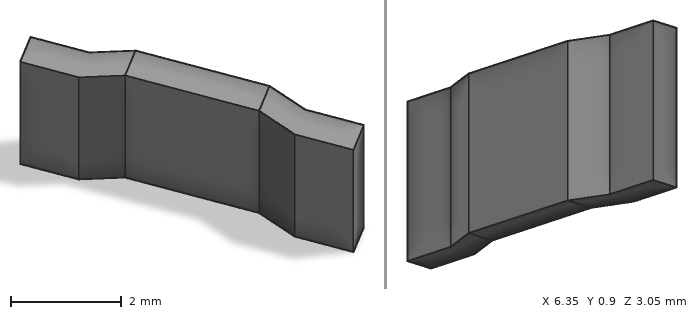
import cadquery as cq

length = 6.35
height = 3.05
depth = 0.9

thickness = 0.6
middle_length = 2.55
tab_length = 1.12

offset = depth - thickness
half_length = length / 2
half_middle = middle_length / 2
bend_x = half_length - tab_length


def extrude_to_height(outline):
    """Extrude a closed plan outline, centred on Z = 0."""
    return cq.Workplane("XY").polyline(outline).close().extrude(height / 2, both=True)


def make_middle_plate():
    """Flat plate, set back toward +Y from the end tabs."""
    front_y = offset
    back_y = depth
    return extrude_to_height([
        (-half_middle, front_y),
        (half_middle, front_y),
        (half_middle, back_y),
        (-half_middle, back_y),
    ])


def make_end_terminal(side):
    """Flat tab with a sloped part that meets the middle plate; side is -1 or +1 along X."""
    return extrude_to_height([
        (side * half_length, 0),
        (side * bend_x, 0),
        (side * half_middle, offset),
        (side * half_middle, depth),
        (side * bend_x, thickness),
        (side * half_length, thickness),
    ])


middle_plate = make_middle_plate()
end_terminals = [make_end_terminal(side) for side in (-1, 1)]

result = cq.Compound.makeCompound([
    middle_plate.val(),
    *[terminal.val() for terminal in end_terminals],
])